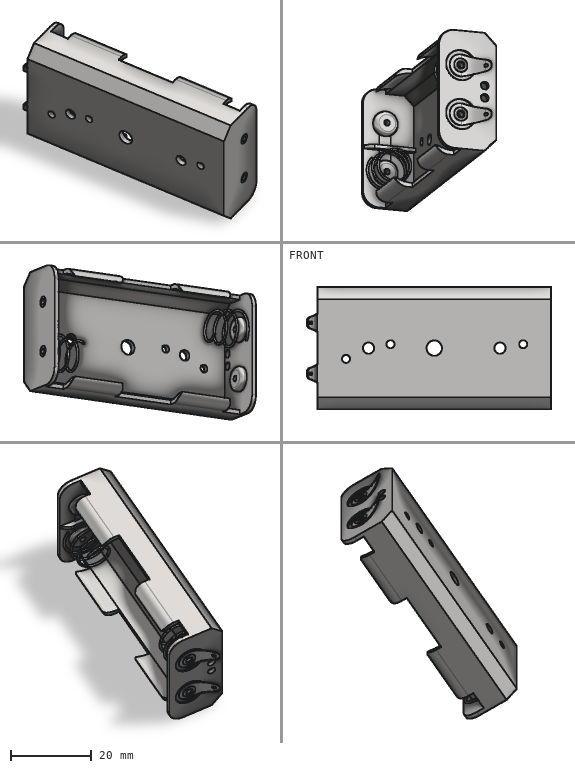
import cadquery as cq
import math


length = 58.1
depth = 15.0
height = 30.5
end_wall = 1.15
side_wall = 1.1
floor = 1.65
back_chamfer = 3.05
front_radius = 3.9
side_height = 9.05

inner_end = length - end_wall
half_height = height / 2

near_tab_start = 6.15
far_tab_start = 37.1
tab_length = 15.0
tab_radius = 3.2
tab_inner_radius = 7.9
tab_bend_y = 10.5
tab_corner = 1.3

back_holes = [
    (0, 0, 3.75),
    (-16.35, 0, 2.75),
    (16.35, 0, 2.75),
    (-21.9, -2.7, 1.95),
    (-10.9, 1.0, 1.95),
    (22.1, 1.0, 1.95),
]

lead_hole_diameter = 2.0
lead_hole_y = 3.05
lead_hole_z = 1.6

axis_y = 9.3
axis_z = 6.3
cell_sides = (1, -1)

cap_radius = 3.15
cap_length = 1.6
cap_round = 1.0
rivet_bore = 0.7
rivet_countersink = 0.25
rivet_radius = 1.35
rivet_head_radius = 1.75
rivet_head_height = 0.25

lug_thickness = 0.25
lug_overhang = 2.6
lug_radius = 2.85
lug_bend_start = 0.2
lug_bend_span = 5.6
lug_bend_angle = math.radians(37)
lug_tip_radius = 1.5
lug_reach = 7.2
lug_hole_diameter = 0.7
lug_hole_offset = 6.0
recess_radius = 3.9

lug_bend_radius = lug_bend_span / math.sin(lug_bend_angle)
lug_bend_rise = lug_bend_radius * (1 - math.cos(lug_bend_angle))
lug_bend_end = lug_bend_start + lug_bend_span
lug_outer_reach = lug_reach - lug_thickness * math.sin(lug_bend_angle)
lug_tip_rise = (lug_outer_reach - lug_bend_end) * math.tan(lug_bend_angle)
lug_face = lug_bend_rise + lug_tip_rise - lug_overhang
recess_depth = lug_face + lug_thickness

bridge_thickness = 0.25
bridge_width = 3.05

rib_thickness = 1.0
rib_reach = 1.45
rib_shoulder_y = 12.5
rib_mid_reach = 0.85
rib_mid_y = 13.7
rib_top_y = 14.7

wire_radius = 0.275
spring_radius = 4.85
spring_taper = 0.35
spring_pitch = 2.9
spring_turns = 3
spring_start_angle = 45
spring_gap = 0.05


def x_cylinder(radius, start, end, y, z):
    """Cylinder along X between two positions."""
    return cq.Workplane("YZ", origin=(start, y, z)).circle(radius).extrude(end - start)


def make_shell():
    """Chamfered and rounded block, hollowed and lowered between its end walls."""
    block = cq.Workplane("XY").box(length, depth, height, centered=(False, False, True))
    block = block.edges("|X and <Y").chamfer(back_chamfer)
    block = block.edges("|X and >Y").fillet(front_radius)
    inner_length = length - 2 * end_wall
    inner_height = height - 2 * side_wall
    cavity = (
        cq.Workplane("XY", origin=(end_wall, floor, 0))
        .box(inner_length, depth, inner_height, centered=(False, False, True))
        .edges("|X and <Y")
        .chamfer(back_chamfer - floor + side_wall)
    )
    opening = cq.Workplane("XY", origin=(end_wall, side_height, 0)).box(
        inner_length, depth, height, centered=(False, False, True)
    )
    return block.cut(cavity).cut(opening)


def make_tab(start, side):
    """Side wall extension that curls inward and thins to an edge over the cell."""
    bend_z = half_height - tab_radius
    diagonal = tab_radius * math.sqrt(0.5)
    tab = (
        cq.Workplane("YZ", origin=(start, 0, 0))
        .moveTo(side_height, half_height)
        .lineTo(tab_bend_y, half_height)
        .threePointArc((tab_bend_y + diagonal, bend_z + diagonal), (tab_bend_y + tab_radius, bend_z))
        .lineTo(side_height, bend_z)
        .close()
        .extrude(tab_length)
    )
    cell_space_z = half_height - side_wall - tab_inner_radius
    cell_space = x_cylinder(tab_inner_radius, start, start + tab_length, axis_y, cell_space_z)
    tab = tab.cut(cell_space)
    rounded = (
        cq.Workplane("XY", origin=(start, 0, 0))
        .box(tab_length, tab_bend_y + tab_radius, height, centered=(False, False, True))
        .edges("|Z and >Y")
        .fillet(tab_corner)
    )
    tab = tab.intersect(rounded)
    return tab if side > 0 else tab.mirror("XY")


def make_rib():
    """Divider between the cells, standing on the floor against the far end wall."""
    return (
        cq.Workplane("XY", origin=(0, 0, -rib_thickness / 2))
        .moveTo(inner_end, floor)
        .lineTo(inner_end - rib_reach, floor)
        .lineTo(inner_end - rib_reach, rib_shoulder_y)
        .threePointArc((inner_end - rib_mid_reach, rib_mid_y), (inner_end, rib_top_y))
        .close()
        .extrude(rib_thickness)
    )


def make_bridge_strip():
    """Flat strip on the far end wall, running from one cell axis to the other."""
    return cq.Workplane("XY", origin=(inner_end - bridge_thickness, axis_y, 0)).box(
        bridge_thickness, bridge_width, 2 * axis_z, centered=(False, True, True)
    )


def make_housing():
    housing = make_shell()
    for start in (near_tab_start, far_tab_start):
        for side in cell_sides:
            housing = housing.union(make_tab(start, side))
    housing = housing.union(make_rib()).cut(make_bridge_strip())
    for offset, z, diameter in back_holes:
        hole = (
            cq.Workplane("XZ", origin=(length / 2 + offset, 0, z))
            .circle(diameter / 2)
            .extrude(-floor)
        )
        housing = housing.cut(hole)
    for side in cell_sides:
        z = side * axis_z
        lead_hole = x_cylinder(
            lead_hole_diameter / 2, 0, end_wall, lead_hole_y, side * lead_hole_z
        )
        recess = x_cylinder(recess_radius, 0, recess_depth, axis_y, z)
        near_bore = x_cylinder(rivet_radius, 0, end_wall, axis_y, z)
        far_bore = x_cylinder(rivet_radius, inner_end, length, axis_y, z)
        housing = housing.cut(lead_hole).cut(recess).cut(near_bore).cut(far_bore)
    return housing


def make_lug():
    """Solder lug about the origin: a disc whose tapered tongue bends outward."""
    sin_end = math.sin(lug_bend_angle)
    cos_end = math.cos(lug_bend_angle)
    sin_mid = math.sin(lug_bend_angle / 2)
    cos_mid = math.cos(lug_bend_angle / 2)

    def on_bend(radius, sine, cosine):
        x = lug_face - lug_bend_radius + radius * cosine
        return (x, -lug_bend_start - radius * sine)

    outer_radius = lug_bend_radius
    inner_radius = lug_bend_radius + lug_thickness
    outer_tip_x = -lug_overhang
    inner_tip_x = outer_tip_x + lug_thickness * cos_end
    strip = (
        cq.Workplane("XY", origin=(0, 0, -lug_radius))
        .moveTo(lug_face, lug_radius)
        .lineTo(lug_face, -lug_bend_start)
        .threePointArc(
            on_bend(outer_radius, sin_mid, cos_mid), on_bend(outer_radius, sin_end, cos_end)
        )
        .lineTo(outer_tip_x, -lug_outer_reach)
        .lineTo(inner_tip_x, -lug_reach)
        .lineTo(*on_bend(inner_radius, sin_end, cos_end))
        .threePointArc(
            on_bend(inner_radius, sin_mid, cos_mid), (recess_depth, -lug_bend_start)
        )
        .lineTo(recess_depth, lug_radius)
        .close()
        .extrude(2 * lug_radius)
    )

    tip_y = lug_tip_radius - lug_reach
    slope_sin = (lug_radius - lug_tip_radius) / -tip_y
    slope_cos = math.sqrt(1 - slope_sin**2)
    disc_tangent = (-lug_radius * slope_sin, lug_radius * slope_cos)
    tip_tangent = (tip_y - lug_tip_radius * slope_sin, lug_tip_radius * slope_cos)
    outline = (
        cq.Workplane("YZ", origin=(-lug_overhang, 0, 0))
        .moveTo(*disc_tangent)
        .threePointArc((lug_radius, 0), (disc_tangent[0], -disc_tangent[1]))
        .lineTo(tip_tangent[0], -tip_tangent[1])
        .threePointArc((-lug_reach, 0), tip_tangent)
        .close()
        .extrude(lug_overhang + end_wall)
    )
    wire_hole = x_cylinder(
        lug_hole_diameter / 2, -lug_overhang, end_wall, -lug_hole_offset, 0
    )
    return strip.intersect(outline).cut(wire_hole)


def make_cap():
    """Domed contact button about the origin, facing +X."""
    return x_cylinder(cap_radius, 0, cap_length, 0, 0).faces(">X").edges().fillet(cap_round)


def make_terminal(side):
    """Lug, hollow rivet and contact button of one cell at the terminal end."""
    head = (
        x_cylinder(rivet_head_radius, lug_face - rivet_head_height, lug_face, 0, 0)
        .faces("<X")
        .edges()
        .chamfer(rivet_head_height / 2, rivet_head_radius - rivet_radius)
    )
    shank = x_cylinder(rivet_radius, lug_face, end_wall, 0, 0)
    cap = make_cap().translate((end_wall, 0, 0))
    bore = x_cylinder(rivet_bore, -lug_overhang, end_wall + cap_length, 0, 0)
    terminal = make_lug().union(head).union(shank).union(cap)
    mouth = cq.Workplane("YZ", origin=(lug_face - rivet_head_height, 0, 0)).circle(
        rivet_bore + rivet_countersink
    )
    countersink = mouth.workplane(offset=rivet_countersink).circle(rivet_bore).loft()
    terminal = terminal.cut(bore).cut(countersink)
    return terminal.translate((0, axis_y, side * axis_z))


def make_bridge():
    """Strip with a contact button and a hollow rivet for each cell."""
    bridge = make_bridge_strip()
    for side in cell_sides:
        z = side * axis_z
        cap = make_cap().mirror("YZ").translate((inner_end, axis_y, z))
        shank = x_cylinder(rivet_radius, inner_end, length, axis_y, z)
        bridge = bridge.union(cap).union(shank)
    for side in cell_sides:
        bore = x_cylinder(rivet_bore, inner_end - cap_length, length, axis_y, side * axis_z)
        bridge = bridge.cut(bore)
    return bridge


def make_spring():
    """Tapered coil spring around the X axis, with its wide end at the origin."""
    taper_angle = math.degrees(math.atan(spring_taper / spring_pitch))
    path = cq.Wire.makeHelix(
        spring_pitch, spring_pitch * spring_turns, spring_radius, angle=-taper_angle
    )
    coil = (
        cq.Workplane("XZ", origin=(spring_radius, 0, 0))
        .circle(wire_radius)
        .sweep(cq.Workplane(path), isFrenet=True)
    )
    coil = coil.rotate((0, 0, 0), (0, 1, 0), 90)
    coil = coil.rotate((0, 0, 0), (1, 0, 0), 90 - spring_start_angle)
    return coil.translate((wire_radius + spring_gap, 0, 0))


housing = make_housing()
terminals = [make_terminal(side) for side in cell_sides]
bridge = make_bridge()
near_spring = make_spring().translate((end_wall, axis_y, axis_z))
far_spring = (
    make_spring().rotate((0, 0, 0), (0, 1, 0), 180).translate((inner_end, axis_y, -axis_z))
)

result = cq.Compound.makeCompound(
    [
        housing.val(),
        *[terminal.val() for terminal in terminals],
        bridge.val(),
        near_spring.val(),
        far_spring.val(),
    ]
)